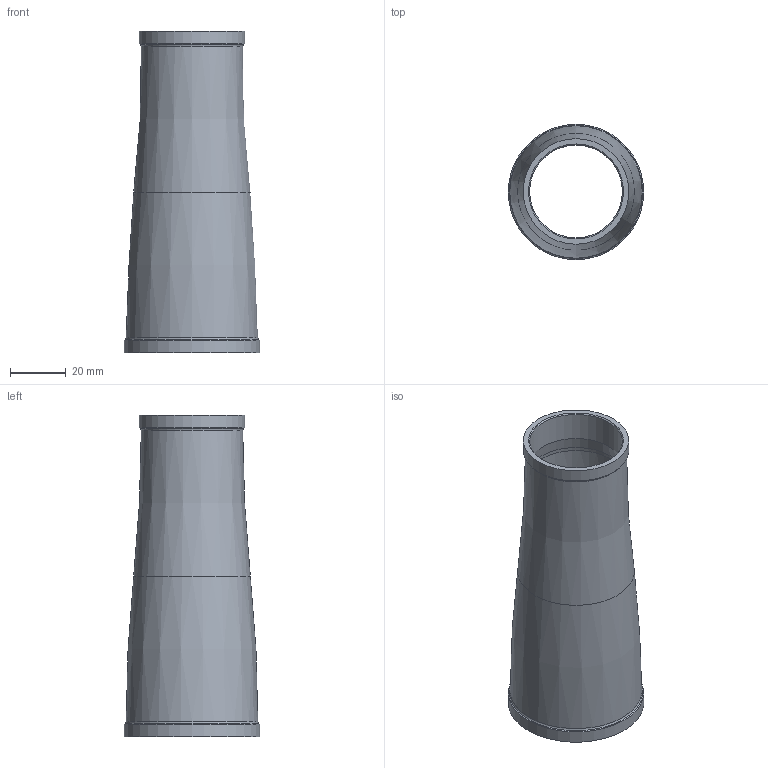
import cadquery as cq
import math

height = 115.8
mid_height = height / 2

body_bottom_radius = 23.7
body_top_radius = 18.25
body_mid_radius = (body_bottom_radius + body_top_radius) / 2
bottom_band_radius = 24.4
top_band_radius = 19.0

band_height = 4.5
neck_end = 5.45
fillet_sweep = math.radians(45)
shoulder_fillet_radius = 1.0

socket_radius = 16.7
socket_depth = 11.0
flare_angle = 8.0
flare_end_depth = 15.4
transition_end_depth = 16.8
taper_angle = 2.0
mouth_chamfer = 0.4

revolve_plane = cq.Plane(origin=(0, 0, 0), xDir=(0, -1, 0), normal=(-1, 0, 0))


def fillet_point(angle, neck_radius, neck_z, toward_band):
    """Point on a shoulder fillet, turned by the given angle from its vertical end at the neck.

    toward_band is the Z direction from the neck toward the band: -1 at the bottom, 1 at the top.
    """
    radius = neck_radius + shoulder_fillet_radius * (1 - math.cos(angle))
    z = neck_z + toward_band * shoulder_fillet_radius * math.sin(angle)
    return radius, z


def make_body():
    """Solid of revolution with an S-shaped side between two end bands."""
    bottom_neck = (body_bottom_radius, neck_end)
    top_neck = (body_top_radius, height - neck_end)
    lower_control = (body_bottom_radius, (neck_end + mid_height) / 2)
    upper_control = (body_top_radius, (mid_height + height - neck_end) / 2)
    half_angle = fillet_sweep / 2
    profile = (
        cq.Workplane(revolve_plane)
        .lineTo(bottom_band_radius, 0)
        .lineTo(bottom_band_radius, band_height)
        .lineTo(*fillet_point(fillet_sweep, *bottom_neck, -1))
        .threePointArc(fillet_point(half_angle, *bottom_neck, -1), bottom_neck)
        .bezier([lower_control, (body_mid_radius, mid_height)], includeCurrent=True)
        .bezier([upper_control, top_neck], includeCurrent=True)
        .threePointArc(fillet_point(half_angle, *top_neck, 1), fillet_point(fillet_sweep, *top_neck, 1))
        .lineTo(top_band_radius, height - band_height)
        .lineTo(top_band_radius, height)
        .lineTo(0, height)
        .close()
    )
    return profile.revolve(360, (0, 0), (0, 1))


def widening(angle, length):
    """Radius gained along a cone of the given half angle (degrees) and axial length."""
    return length * math.tan(math.radians(angle))


def make_bore():
    """Through bore that widens toward the bottom, with a chamfered mouth at the top."""
    flare_end_z = height - flare_end_depth
    transition_end_z = height - transition_end_depth
    mean_angle = (flare_angle + taper_angle) / 2
    flare_radius = socket_radius + widening(flare_angle, flare_end_depth - socket_depth)
    transition_radius = flare_radius + widening(mean_angle, transition_end_depth - flare_end_depth)
    bottom_radius = transition_radius + widening(taper_angle, transition_end_z)
    taper_direction = (-math.tan(math.radians(taper_angle)), 1)
    flare_direction = (-math.tan(math.radians(flare_angle)), 1)
    profile = (
        cq.Workplane(revolve_plane)
        .lineTo(bottom_radius, 0)
        .lineTo(transition_radius, transition_end_z)
        .spline(
            [(flare_radius, flare_end_z)],
            tangents=[taper_direction, flare_direction],
            includeCurrent=True,
        )
        .lineTo(socket_radius, height - socket_depth)
        .lineTo(socket_radius, height - mouth_chamfer)
        .lineTo(socket_radius + mouth_chamfer, height)
        .lineTo(0, height)
        .close()
    )
    return profile.revolve(360, (0, 0), (0, 1))


result = make_body().cut(make_bore())